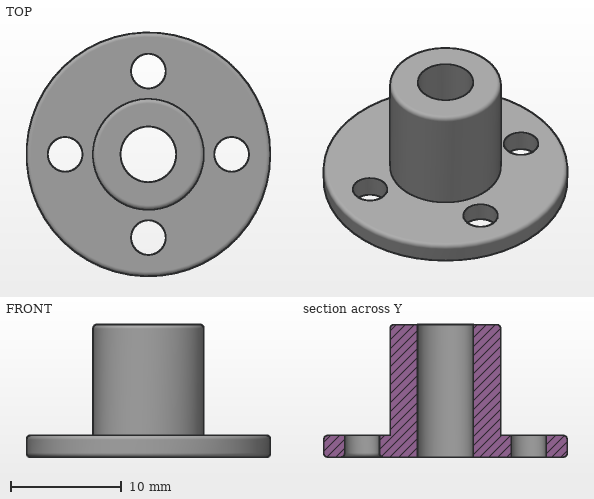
import cadquery as cq

flange_diameter = 22.0
flange_thickness = 2.0

total_height = 12.0
hub_diameter = 10.0
bore_diameter = 5.0

hole_count = 4
hole_diameter = 3.1
bolt_circle_diameter = 15.0

edge_radius = 0.4


def make_flange():
    """Round disc with both rims rounded."""
    disc = cq.Workplane("XY").circle(flange_diameter / 2).extrude(flange_thickness)
    return disc.edges().fillet(edge_radius)


def make_hub():
    """Cylinder standing on the base plane, rounded at its top rim."""
    cylinder = cq.Workplane("XY").circle(hub_diameter / 2).extrude(total_height)
    return cylinder.faces(">Z").edges().fillet(edge_radius)


def make_bore():
    """Cutter for the central hole through the whole part."""
    return cq.Workplane("XY").circle(bore_diameter / 2).extrude(total_height)


def make_mounting_holes():
    """Cutters for the flange holes, placed on the X and Y axes."""
    return (
        cq.Workplane("XY")
        .polarArray(bolt_circle_diameter / 2, 0, 360, hole_count)
        .circle(hole_diameter / 2)
        .extrude(flange_thickness)
    )


def round_hole_mouth(body):
    """Round the lower mouth of the mounting hole on the -X side."""
    smallest_circles = cq.selectors.RadiusNthSelector(0)
    hole_rims = body.faces("<Z").edges(smallest_circles)
    return hole_rims.edges("<X").fillet(edge_radius)


body = make_flange().union(make_hub())
body = body.cut(make_bore()).cut(make_mounting_holes())
result = round_hole_mouth(body)